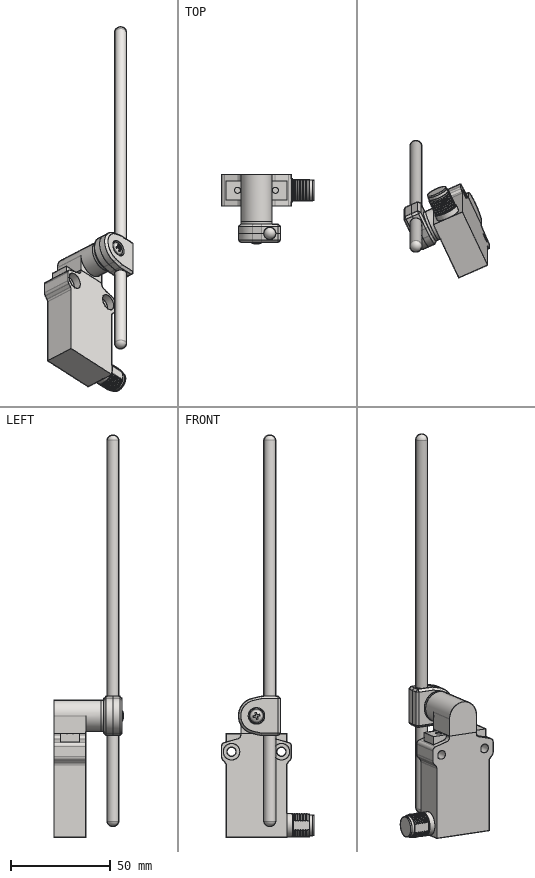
import cadquery as cq
import math


BODY_WIDTH = 30.5
BODY_DEPTH = 16.0
BODY_HEIGHT = 52.2
BACK_Y = BODY_DEPTH / 2
EAR_HALF_WIDTH = 17.5
EAR_ROOT_Z = 37.0
EAR_BOTTOM_Z = 39.6
EAR_TOP_Z = 47.3
EAR_BOTTOM_FILLET = 2.5
EAR_TOP_FILLET = 2.0
EAR_ROOT_FILLET = 1.8
SHOULDER_Z = 50.0
SHOULDER_FILLET = 2.0
MOUNT_HOLE_X = 12.5
MOUNT_HOLE_Z = 43.0
MOUNT_HOLE_DIA = 4.5
MOUNT_BORE_DIA = 8.3
MOUNT_BORE_DEPTH = 4.0
KEY_DEPTH = 9.5
KEY_HOLE_DIA = 3.0
KEY_HOLE_X = 9.5
KEY_HOLE_DEPTH = 2.0

HEAD_DIA = 15.8
HEAD_AXIS_Z = 61.0
HEAD_LENGTH = 23.7

HUB_LENGTH = 1.31
CLAMP_RADIUS = 9.1
CLAMP_HALF_HEIGHT = 10.0
CLAMP_FLAT_START_X = 2.5
CLAMP_RIGHT_X = 12.1
CLAMP_HALF_DEPTH = 4.7
CLAMP_CHAMFER = 1.2
HUB_BACK_Y = BACK_Y - HEAD_LENGTH
CLAMP_BACK_Y = HUB_BACK_Y - HUB_LENGTH
CLAMP_MID_Y = CLAMP_BACK_Y - CLAMP_HALF_DEPTH
CLAMP_FRONT_Y = CLAMP_MID_Y - CLAMP_HALF_DEPTH

ROD_DIA = 6.0
ROD_X = 6.7
ROD_BOTTOM_Z = 5.5
ROD_TOP_Z = 202.3
ROD_DOME_HEIGHT = 2.6

SCREW_BORE_DIA = 8.3
SCREW_HEAD_DIA = 7.0
SCREW_SHANK_DIA = 3.5
SCREW_BORE_DEPTH = 2.5
SCREW_RIM_DEPTH = 0.6
SCREW_DOME_DIA = 6.0
SCREW_DOME_DEPTH = 0.2
SCREW_RISE = 0.7
CROSS_SPAN = 3.5
CROSS_WIDTH = 0.8
CROSS_DEPTH = 0.8
CROSS_ANGLE = 15

CONNECTOR_Z = 6.0
CONNECTOR_DIA = 12.0
STUB_LENGTH = 2.8
NECK_LENGTH = 0.5
NECK_DIA = 10.5
THREAD_DEPTH = 0.2
THREAD_PITCH = 1.2
THREAD_TURNS = 6
THREAD_LAND = 0.8
THREAD_LENGTH = THREAD_TURNS * THREAD_PITCH + THREAD_LAND
FLAT_DISTANCE = 10.7
TIP_DIA = 10.5
TIP_END_DIA = 10.3
TIP_END_LENGTH = 0.8
CONNECTOR_END_X = 29.0


def cylinder_along_y(radius, x, z, y_start, y_end):
    """Cylinder parallel to Y, from y_start forward (toward -Y) to y_end."""
    plane = cq.Workplane("XZ", origin=(x, y_start, z))
    return plane.circle(radius).extrude(y_start - y_end)


def housing_half(side):
    """Housing half at +X (side = 1) or -X (side = -1), with its ear and the sloped shoulder above it."""
    wall = side * BODY_WIDTH / 2
    edge = side * EAR_HALF_WIDTH
    neck = side * HEAD_DIA / 2
    ear_root = (wall, EAR_ROOT_Z)
    ear_bottom = (edge, EAR_BOTTOM_Z)
    ear_top = (edge, EAR_TOP_Z)
    shoulder = (neck, SHOULDER_Z)
    outline = [
        (0, 0), (wall, 0), ear_root, ear_bottom, ear_top, shoulder, (neck, BODY_HEIGHT), (0, BODY_HEIGHT)
    ]
    half = cq.Workplane("XZ", origin=(0, BACK_Y, 0)).polyline(outline).close().extrude(BODY_DEPTH)
    rounded_corners = [
        (ear_root, EAR_ROOT_FILLET),
        (ear_bottom, EAR_BOTTOM_FILLET),
        (ear_top, EAR_TOP_FILLET),
        (shoulder, SHOULDER_FILLET),
    ]
    for (x, z), radius in rounded_corners:
        corner = cq.selectors.NearestToPointSelector((x, 0, z))
        half = half.edges("|Y").edges(corner).fillet(radius)
    return half


def make_housing():
    housing = housing_half(1).union(housing_half(-1), clean=True)
    key_height = BODY_HEIGHT - MOUNT_HOLE_Z - MOUNT_BORE_DIA / 2
    key_centre = cq.Workplane("XY", origin=(0, 0, BODY_HEIGHT - key_height / 2))
    housing = housing.union(key_centre.box(BODY_WIDTH, KEY_DEPTH, key_height))
    front_y = -BODY_DEPTH / 2
    for side in (-1, 1):
        x = side * MOUNT_HOLE_X
        housing = housing.cut(cylinder_along_y(MOUNT_HOLE_DIA / 2, x, MOUNT_HOLE_Z, BACK_Y, front_y))
        bore_floor_y = front_y + MOUNT_BORE_DEPTH
        housing = housing.cut(cylinder_along_y(MOUNT_BORE_DIA / 2, x, MOUNT_HOLE_Z, bore_floor_y, front_y))
        key_hole = cq.Workplane("XY", origin=(side * KEY_HOLE_X, 0, BODY_HEIGHT))
        housing = housing.cut(key_hole.circle(KEY_HOLE_DIA / 2).extrude(-KEY_HOLE_DEPTH))
    return housing


def make_head():
    post_height = HEAD_AXIS_Z - BODY_HEIGHT
    post_centre = cq.Workplane("XY", origin=(0, 0, BODY_HEIGHT + post_height / 2))
    post = post_centre.box(HEAD_DIA, BODY_DEPTH, post_height)
    barrel = cylinder_along_y(HEAD_DIA / 2, 0, HEAD_AXIS_Z, BACK_Y, HUB_BACK_Y)
    return post.union(barrel)


def clamp_blank(y_start, outer_face):
    """Half of the clamp without holes: a round end, two tangent slopes and a square end."""
    reach = math.hypot(CLAMP_FLAT_START_X, CLAMP_HALF_HEIGHT)
    tangent_angle = math.atan2(CLAMP_HALF_HEIGHT, CLAMP_FLAT_START_X) + math.acos(CLAMP_RADIUS / reach)
    tangent_x = CLAMP_RADIUS * math.cos(tangent_angle)
    tangent_z = CLAMP_RADIUS * math.sin(tangent_angle)
    blank = (
        cq.Workplane("XZ", origin=(0, y_start, HEAD_AXIS_Z))
        .moveTo(CLAMP_RIGHT_X, -CLAMP_HALF_HEIGHT)
        .lineTo(CLAMP_RIGHT_X, CLAMP_HALF_HEIGHT)
        .lineTo(CLAMP_FLAT_START_X, CLAMP_HALF_HEIGHT)
        .lineTo(tangent_x, tangent_z)
        .threePointArc((-CLAMP_RADIUS, 0), (tangent_x, -tangent_z))
        .lineTo(CLAMP_FLAT_START_X, -CLAMP_HALF_HEIGHT)
        .close()
        .extrude(CLAMP_HALF_DEPTH)
    )
    end_corners = blank.faces(">X").edges("|Y")
    outer_rim = blank.faces(outer_face).edges()
    return blank.newObject(end_corners.vals() + outer_rim.vals()).chamfer(CLAMP_CHAMFER)


def make_rod():
    """Round rod with a domed end at the top and the bottom."""
    radius = ROD_DIA / 2
    sphere_radius = (radius ** 2 + ROD_DOME_HEIGHT ** 2) / (2 * ROD_DOME_HEIGHT)
    dome_mid_x = radius / 2
    dome_mid_drop = sphere_radius - math.sqrt(sphere_radius ** 2 - dome_mid_x ** 2)
    profile = (
        cq.Workplane("XZ", origin=(ROD_X, CLAMP_MID_Y, 0))
        .moveTo(0, ROD_BOTTOM_Z)
        .threePointArc((dome_mid_x, ROD_BOTTOM_Z + dome_mid_drop), (radius, ROD_BOTTOM_Z + ROD_DOME_HEIGHT))
        .lineTo(radius, ROD_TOP_Z - ROD_DOME_HEIGHT)
        .threePointArc((dome_mid_x, ROD_TOP_Z - dome_mid_drop), (0, ROD_TOP_Z))
        .close()
    )
    return profile.revolve(360, (0, 0, 0), (0, 1, 0))


def make_screw():
    """Domed head with a bevelled rim and a cross recess, on a shank that reaches the back of the clamp."""
    rim = SCREW_HEAD_DIA / 2
    shank = SCREW_SHANK_DIA / 2
    dome_edge = SCREW_DOME_DIA / 2
    dome_height = SCREW_DOME_DEPTH + SCREW_RISE
    dome_radius = (dome_edge ** 2 + dome_height ** 2) / (2 * dome_height)
    dome_mid_x = dome_edge / 2
    apex_y = CLAMP_FRONT_Y - SCREW_RISE
    dome_mid_y = apex_y + dome_radius - math.sqrt(dome_radius ** 2 - dome_mid_x ** 2)
    head_seat_y = CLAMP_FRONT_Y + SCREW_BORE_DEPTH
    profile = (
        cq.Workplane("XY", origin=(0, 0, HEAD_AXIS_Z))
        .moveTo(0, CLAMP_BACK_Y)
        .lineTo(shank, CLAMP_BACK_Y)
        .lineTo(shank, head_seat_y)
        .lineTo(rim, head_seat_y)
        .lineTo(rim, CLAMP_FRONT_Y + SCREW_RIM_DEPTH)
        .lineTo(dome_edge, CLAMP_FRONT_Y + SCREW_DOME_DEPTH)
        .threePointArc((dome_mid_x, dome_mid_y), (0, apex_y))
        .close()
    )
    screw = profile.revolve(360, (0, 0, 0), (0, 1, 0))
    cross_plane = cq.Workplane("XZ", origin=(0, apex_y + CROSS_DEPTH, HEAD_AXIS_Z))
    for angle in (CROSS_ANGLE, CROSS_ANGLE + 90):
        slot_plane = cross_plane.transformed(rotate=(0, 0, angle))
        screw = screw.cut(slot_plane.rect(CROSS_SPAN, CROSS_WIDTH).extrude(CROSS_DEPTH))
    return screw


def make_clamp_halves():
    hub = cylinder_along_y(HEAD_DIA / 2, 0, HEAD_AXIS_Z, HUB_BACK_Y, CLAMP_BACK_Y)
    back = clamp_blank(CLAMP_BACK_Y, ">Y").union(hub)
    front = clamp_blank(CLAMP_MID_Y, "<Y")
    rod_hole = cq.Workplane("XY", origin=(ROD_X, CLAMP_MID_Y, 0)).circle(ROD_DIA / 2).extrude(ROD_TOP_Z)
    shank_hole = cylinder_along_y(SCREW_SHANK_DIA / 2, 0, HEAD_AXIS_Z, CLAMP_BACK_Y, CLAMP_FRONT_Y)
    head_bore = cylinder_along_y(
        SCREW_BORE_DIA / 2, 0, HEAD_AXIS_Z, CLAMP_FRONT_Y + SCREW_BORE_DEPTH, CLAMP_FRONT_Y
    )
    back = back.cut(rod_hole).cut(shank_hole)
    front = front.cut(rod_hole).cut(shank_hole).cut(head_bore)
    return back, front


def make_connector():
    wall_x = BODY_WIDTH / 2
    neck_x = wall_x + STUB_LENGTH
    thread_x = neck_x + NECK_LENGTH
    thread_end_x = thread_x + THREAD_LENGTH
    tip_end_x = CONNECTOR_END_X - TIP_END_LENGTH
    radius = CONNECTOR_DIA / 2

    def disc(start_x, end_x, diameter):
        plane = cq.Workplane("YZ", origin=(start_x, 0, CONNECTOR_Z))
        return plane.circle(diameter / 2).extrude(end_x - start_x)

    thread = cq.Workplane("XY", origin=(0, 0, CONNECTOR_Z)).moveTo(thread_x, 0)
    thread = thread.lineTo(thread_x, radius - THREAD_DEPTH)
    for turn in range(THREAD_TURNS):
        root_x = thread_x + turn * THREAD_PITCH
        thread = thread.lineTo(root_x + THREAD_PITCH / 2, radius)
        thread = thread.lineTo(root_x + THREAD_PITCH, radius - THREAD_DEPTH)
    thread = thread.lineTo(thread_end_x, radius - THREAD_DEPTH).lineTo(thread_end_x, 0).close()
    thread = thread.revolve(360, (0, 0, 0), (1, 0, 0))
    between_flats = cq.Workplane("XY", origin=((thread_x + thread_end_x) / 2, 0, CONNECTOR_Z))
    thread = thread.intersect(between_flats.box(THREAD_LENGTH, FLAT_DISTANCE, CONNECTOR_DIA))

    connector = disc(wall_x, neck_x, CONNECTOR_DIA).union(disc(neck_x, thread_x, NECK_DIA)).union(thread)
    connector = connector.union(disc(thread_end_x, tip_end_x, TIP_DIA))
    return connector.union(disc(tip_end_x, CONNECTOR_END_X, TIP_END_DIA))


housing = make_housing()
head = make_head()
clamp_back, clamp_front = make_clamp_halves()
rod = make_rod()
screw = make_screw()
connector = make_connector()

result = cq.Compound.makeCompound([
    housing.val(),
    head.val(),
    clamp_back.val(),
    clamp_front.val(),
    rod.val(),
    screw.val(),
    connector.val(),
])